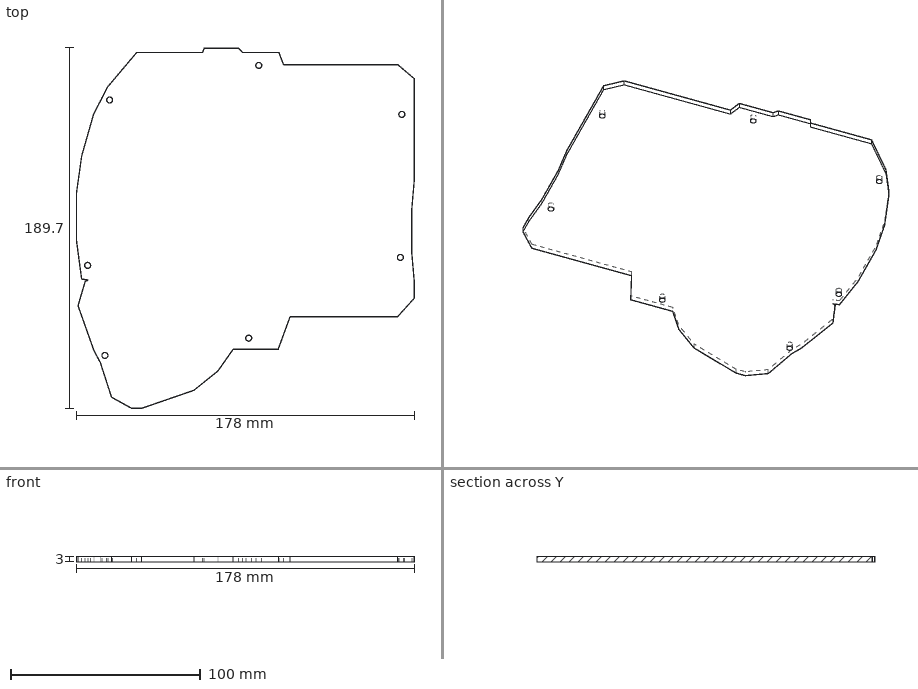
import cadquery as cq

width = 178.0
length = 189.7
thickness = 3.0
hole_diameter = 3.0

upper_edge = 187.5
shoulder_edge = 181.0
lower_shoulder_edge = 48.2
lower_edge = 31.1

relief_depth = 1.3
relief_x = width - relief_depth

top_edge = [
    (31.7, upper_edge),
    (66.4, upper_edge),
    (67.2, length),
    (85.4, length),
    (87.5, upper_edge),
    (106.6, upper_edge),
    (109.0, shoulder_edge),
    (169.2, shoulder_edge),
]

right_edge = [
    (width, 173.5),
    (width, 120.5),
    (relief_x, 105.0),
    (relief_x, 81.5),
    (width, 66.4),
    (width, 58.0),
]

bottom_edge = [
    (169.0, lower_shoulder_edge),
    (112.5, lower_shoulder_edge),
    (106.2, lower_edge),
    (82.5, lower_edge),
    (74.5, 19.7),
    (61.8, 9.5),
    (34.3, 0),
    (29.0, 0),
    (18.4, 5.9),
]

left_edge = [
    (12.5, 24.0),
    (9.1, 30.5),
    (0.8, 54.0),
    (4.5, 67.0),
    (6.0, 67.5),
    (2.7, 68.1),
    (0, 88.0),
    (0, 113.8),
    (2.7, 132.8),
    (9.0, 154.8),
    (16.3, 169.2),
]

hole_centers = [
    (17.5, 162.4),
    (96.0, 180.5),
    (171.3, 154.8),
    (170.5, 79.5),
    (90.7, 37.0),
    (5.9, 75.3),
    (15.0, 27.9),
]

outline = top_edge + right_edge + bottom_edge + left_edge
plate = cq.Workplane("XY").polyline(outline).close().extrude(thickness)

result = plate.faces(">Z").workplane(origin=(0, 0, thickness)).pushPoints(hole_centers).hole(hole_diameter)